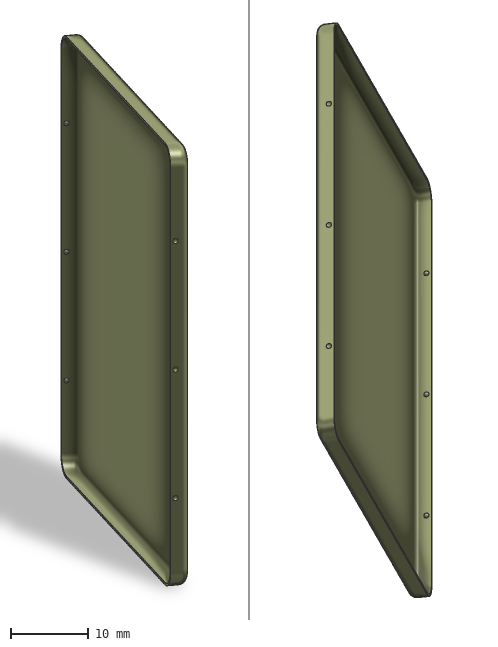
import cadquery as cq

width = 51.0
depth = 2.5
height = 60.1
wall = 0.3
corner_radius = 2.5
back_edge_radius = 1.0

ball_radius = 0.4
dimple_depth = 0.2
dimple_pitch = 17.5
dimple_from_rim = 0.65


def rounded_tray_body(inset):
    """Rounded block with a filleted back, inset on all sides except the open front."""
    return (
        cq.Workplane("XZ", origin=(0, depth / 2 - inset, 0))
        .rect(width - 2 * inset, height - 2 * inset)
        .extrude(depth - inset)
        .edges("|Y")
        .fillet(corner_radius - inset)
        .faces(">Y")
        .edges()
        .fillet(back_edge_radius - inset)
    )


def dimple_balls(face_inset):
    """Balls that reach one dimple depth past the long wall faces at this inset."""
    center_x = width / 2 - face_inset + ball_radius - dimple_depth
    center_y = -depth / 2 + dimple_from_rim
    centers = [
        (center_y, step * dimple_pitch, side * center_x)
        for side in (-1, 1)
        for step in (-1, 0, 1)
    ]
    return cq.Workplane("YZ").pushPoints(centers).sphere(ball_radius)


cavity = rounded_tray_body(wall)
bumps = dimple_balls(wall).intersect(cavity)
tray = rounded_tray_body(0).cut(cavity)
result = tray.union(bumps).cut(dimple_balls(0)).solids()